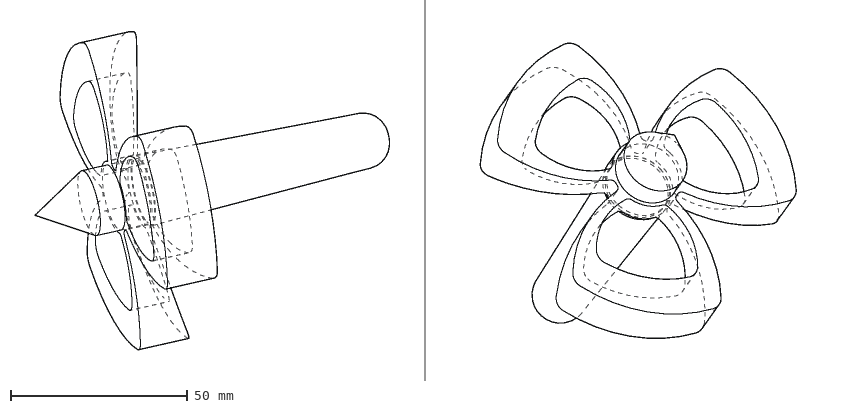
import cadquery as cq
import math


blade_count = 3
rim_radius = 45.0
rim_thickness = 15.1
dish_sphere_radius = 133.9
bore_radius = 9.5
hub_wall = 1.1
hub_radius = bore_radius + hub_wall

blade_half_width = 22.3
blade_side_radius = 41.9
blade_widest_offset = 37.9
blade_tip_fillet = 4.3
root_fillet = 1.5

window_half_width = 15.2
window_side_radius = 21.7
window_widest_offset = 27.1
window_outer_radius = 33.8
window_outer_fillet = 4.0
window_root_fillet = 1.5

nose_cone_length = 16.4
nose_front = 7.4
shoulder_position = 8.9
spindle_length = 106.3
shaft_end_position = spindle_length - nose_front - nose_cone_length
shaft_base_radius = 10.2
shaft_end_radius = 7.8
shaft_end_fillet = 7.0


def disc(radius):
    """Cylinder on the Y axis, as thick as the rim."""
    return cq.Workplane("XZ").circle(radius).extrude(-rim_thickness)


def lens(half_width, side_radius, widest_offset):
    """Prism between two mirrored arcs, pointing from the axis toward -Z."""
    half_length = math.sqrt(side_radius**2 - (side_radius - half_width) ** 2)
    inner_point = (0, half_length - widest_offset)
    outer_point = (0, -half_length - widest_offset)
    return (
        cq.Workplane("XZ")
        .moveTo(*inner_point)
        .threePointArc((half_width, -widest_offset), outer_point)
        .threePointArc((-half_width, -widest_offset), inner_point)
        .close()
        .extrude(-rim_thickness)
    )


def make_blade():
    blade = lens(blade_half_width, blade_side_radius, blade_widest_offset).intersect(disc(rim_radius))
    tip_corners = cq.selectors.BoxSelector(
        (-rim_radius, 0, -rim_radius), (rim_radius, rim_thickness, -blade_widest_offset)
    )
    return blade.edges("|Y").edges(tip_corners).fillet(blade_tip_fillet)


def make_window():
    window = lens(window_half_width, window_side_radius, window_widest_offset)
    window = window.intersect(disc(window_outer_radius)).cut(disc(hub_radius))
    outer_corners = cq.selectors.BoxSelector(
        (-rim_radius, 0, -rim_radius), (rim_radius, rim_thickness, -window_widest_offset)
    )
    hub_corners = cq.selectors.BoxSelector(
        (-hub_radius, 0, -hub_radius), (hub_radius, rim_thickness, 0)
    )
    window = window.edges("|Y").edges(outer_corners).fillet(window_outer_fillet)
    return window.edges("|Y").edges(hub_corners).fillet(window_root_fillet)


def around_axis(shape):
    """Evenly spaced copies of a shape around the Y axis."""
    step = 360 / blade_count
    return [shape.rotate((0, 0, 0), (0, 1, 0), index * step) for index in range(blade_count)]


def make_propeller():
    propeller = disc(hub_radius)
    for blade in around_axis(make_blade()):
        propeller = propeller.union(blade)

    hub_zone = cq.selectors.BoxSelector(
        (-hub_radius, 0, -hub_radius), (hub_radius, rim_thickness, hub_radius)
    )
    propeller = propeller.edges("|Y").edges(hub_zone).fillet(root_fillet)

    for window in around_axis(make_window()):
        propeller = propeller.cut(window)

    sphere_center = rim_thickness + math.sqrt(dish_sphere_radius**2 - rim_radius**2)
    dish = cq.Workplane("XY").sphere(dish_sphere_radius).translate((0, sphere_center, 0))
    return propeller.cut(dish).cut(disc(bore_radius))


def make_spindle():
    profile = [
        (0, -nose_front - nose_cone_length),
        (bore_radius, -nose_front),
        (bore_radius, shoulder_position),
        (shaft_base_radius, shoulder_position),
        (shaft_end_radius, shaft_end_position),
        (0, shaft_end_position),
    ]
    spindle = cq.Workplane("XY").polyline(profile).close().revolve(360, (0, 0, 0), (0, 1, 0))
    return spindle.faces(">Y").edges().fillet(shaft_end_fillet)


propeller = make_propeller()
spindle = make_spindle()

result = cq.Compound.makeCompound([propeller.solids().val(), spindle.val()])